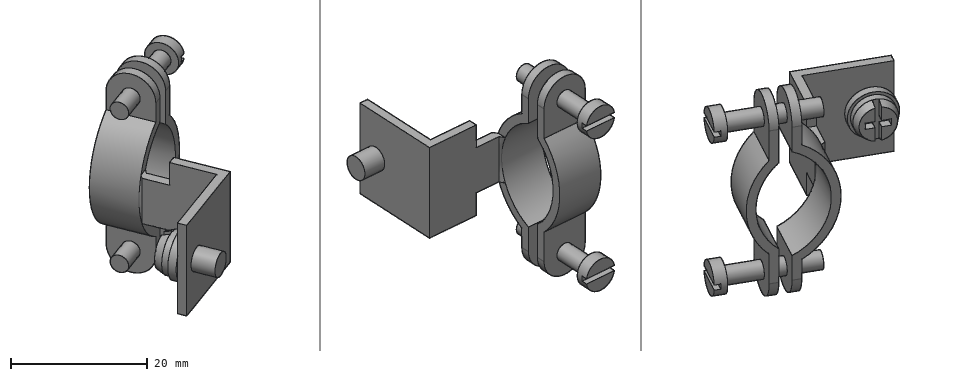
import cadquery as cq
import math

sheet = 1.5
band_width = 8.0
bore_radius = 10.0
ring_radius = bore_radius + sheet
clamp_height = 35.0
lug_gap = 2.0
front_lug_offset = 4.0
rear_lug_offset = 6.5
rear_ring_y = lug_gap - front_lug_offset - rear_lug_offset
lug_radius = band_width / 2
lug_screw_z = clamp_height / 2 - lug_radius

clamp_screw_diameter = 3.0
clamp_head_diameter = 5.5
clamp_head_height = 2.05
clamp_head_top_y = 7.5
clamp_screw_tip_y = -9.6
clamp_slot_width = 0.9
clamp_slot_depth = 1.0

tongue_height = 8.0
plate_height = 16.0
blend_length = 0.5
plate_start_x = 8.9
flange_outer_x = 18.0
flange_inner_x = flange_outer_x - sheet
flange_end_y = -25.55
plate_front_y = -ring_radius

bracket_screw_y = -22.0
stud_diameter = 4.0
stud_tip_x = 21.85
washer_diameter = 8.0
washer_height = 1.35
head_diameter = 7.0
head_rim_height = 1.2
head_top_diameter = 5.9
head_taper_height = 1.4
cross_long_width = 1.0
cross_short_width = 1.1
cross_short_length = 4.0


def clamp_half(facing, lug_offset):
    """Half clamp about the X axis; facing is the Y direction in which the ring bulges."""
    lug_inner = facing * lug_offset
    lug_outer = facing * (lug_offset + sheet)
    inner_z = math.sqrt(bore_radius**2 - lug_inner**2)
    outer_z = math.sqrt(ring_radius**2 - lug_outer**2)
    top_z = clamp_height / 2
    band = (
        cq.Workplane("YZ", origin=(-band_width / 2, 0, 0))
        .moveTo(lug_inner, top_z)
        .lineTo(lug_inner, inner_z)
        .threePointArc((facing * bore_radius, 0), (lug_inner, -inner_z))
        .lineTo(lug_inner, -top_z)
        .lineTo(lug_outer, -top_z)
        .lineTo(lug_outer, -outer_z)
        .threePointArc((facing * ring_radius, 0), (lug_outer, outer_z))
        .lineTo(lug_outer, top_z)
        .close()
        .extrude(band_width)
    )
    rounded_outline = (
        cq.Workplane("XZ")
        .slot2D(clamp_height, band_width, 90)
        .extrude(2 * ring_radius, both=True)
    )
    return band.intersect(rounded_outline)


def clamp_screw(z):
    """Slotted cheese-head screw through both lugs, head at the +Y end."""
    axis = cq.Workplane("XZ", origin=(0, clamp_head_top_y, z))
    head = axis.circle(clamp_head_diameter / 2).extrude(clamp_head_height)
    shank = axis.circle(clamp_screw_diameter / 2).extrude(clamp_head_top_y - clamp_screw_tip_y)
    slot = axis.rect(clamp_head_diameter, clamp_slot_width).extrude(clamp_slot_depth)
    return head.union(shank).cut(slot)


def blend():
    """Short transition from the curved band edge to the flat tongue."""
    start_x = band_width / 2
    half = tongue_height / 2
    inner_y = -math.sqrt(bore_radius**2 - half**2)
    outer_y = -math.sqrt(ring_radius**2 - half**2)
    tongue_middle_y = plate_front_y + sheet / 2
    return (
        cq.Workplane("YZ", origin=(start_x, 0, 0))
        .moveTo(inner_y, -half)
        .threePointArc((-bore_radius, 0), (inner_y, half))
        .lineTo(outer_y, half)
        .threePointArc((-ring_radius, 0), (outer_y, -half))
        .close()
        .workplane(offset=blend_length)
        .center(tongue_middle_y, 0)
        .rect(sheet, tongue_height)
        .loft(ruled=True)
    )


def box_between(x_range, y_range, height):
    """Box spanning the given X and Y ranges, centred on Z = 0."""
    return (
        cq.Workplane("XY", origin=(x_range[0], y_range[0], 0))
        .box(x_range[1] - x_range[0], y_range[1] - y_range[0], height, centered=(False, False, True))
    )


def bracket():
    """Tongue, wide plate and the flange bent toward -Y."""
    plate_y = (plate_front_y, plate_front_y + sheet)
    tongue = box_between((band_width / 2 + blend_length, plate_start_x), plate_y, tongue_height)
    plate = box_between((plate_start_x, flange_outer_x), plate_y, plate_height)
    flange = box_between((flange_inner_x, flange_outer_x), (flange_end_y, plate_front_y), plate_height)
    return tongue.union(plate).union(flange).union(blend())


def bracket_screw():
    """Cross-slotted screw with a washer, its stud passing through the flange."""
    rim_x = flange_inner_x - washer_height
    taper_x = rim_x - head_rim_height
    top_x = taper_x - head_taper_height
    profile = [
        (top_x, 0),
        (top_x, head_top_diameter / 2),
        (taper_x, head_diameter / 2),
        (rim_x, head_diameter / 2),
        (rim_x, washer_diameter / 2),
        (flange_inner_x, washer_diameter / 2),
        (flange_inner_x, stud_diameter / 2),
        (stud_tip_x, stud_diameter / 2),
        (stud_tip_x, 0),
    ]
    body = (
        cq.Workplane("XY", origin=(0, bracket_screw_y, 0))
        .polyline(profile)
        .close()
        .revolve(360, (0, 0, 0), (1, 0, 0))
    )
    head_top = cq.Workplane("YZ", origin=(top_x, bracket_screw_y, 0))
    long_slot = head_top.rect(cross_long_width, head_diameter).extrude(head_taper_height)
    short_slot = head_top.rect(cross_short_length, cross_short_width).extrude(head_taper_height)
    return body.cut(long_slot).cut(short_slot)


front_half = clamp_half(-1, front_lug_offset)
rear_half = clamp_half(1, rear_lug_offset).translate((0, rear_ring_y, 0))

result = front_half.union(rear_half).union(bracket()).union(bracket_screw())
for screw_z in (lug_screw_z, -lug_screw_z):
    result = result.union(clamp_screw(screw_z))